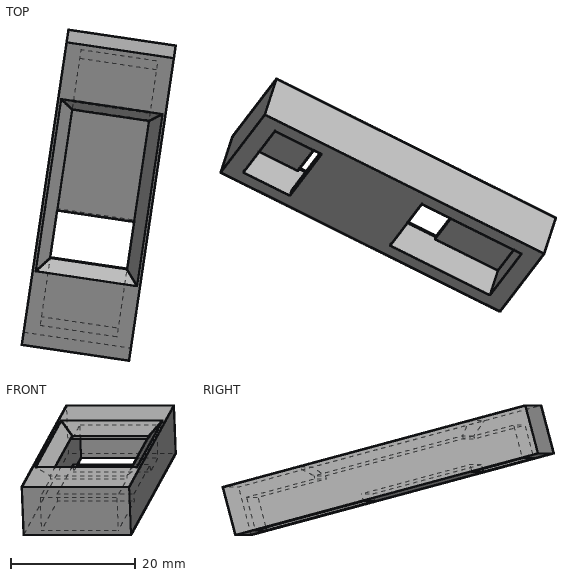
import cadquery as cq

WIDTH = 17.5
LENGTH = 51.0
HEIGHT = 8.0
TOP = HEIGHT / 2
BOTTOM = -HEIGHT / 2

SIDE_WALL = 2.5
END_WALL = 3.0
ROOF = 2.5
CAVITY_WIDTH = WIDTH - 2 * SIDE_WALL
CAVITY_LENGTH = LENGTH - 2 * END_WALL

BEVEL = 2.0
WINDOW_WIDTH = CAVITY_WIDTH
WINDOW_LENGTH = 25.0
WINDOW_CENTER_Y = 1.5

PLATE_THICKNESS = 1.2
PLATE_FRONT_Y = -4.3
PLATE_BACK_Y = WINDOW_CENTER_Y + WINDOW_LENGTH / 2

TILT_ABOUT_X = 14.95
TURN_ABOUT_Z = -8.43


def make_housing():
    """Block hollowed from below, leaving side walls, end walls and a roof."""
    block = cq.Workplane("XY").box(WIDTH, LENGTH, HEIGHT)
    cavity = (
        cq.Workplane("XY", origin=(0, 0, BOTTOM))
        .rect(CAVITY_WIDTH, CAVITY_LENGTH)
        .extrude(HEIGHT - ROOF)
    )
    return block.cut(cavity)


def make_window():
    """Cutter for the roof window: a straight throat below a flared mouth."""
    throat = (
        cq.Workplane("XY", origin=(0, WINDOW_CENTER_Y, TOP - ROOF))
        .rect(WINDOW_WIDTH, WINDOW_LENGTH)
        .extrude(ROOF)
    )
    mouth = (
        cq.Workplane("XY", origin=(0, WINDOW_CENTER_Y, TOP - BEVEL))
        .rect(WINDOW_WIDTH, WINDOW_LENGTH)
        .workplane(offset=BEVEL)
        .rect(WINDOW_WIDTH + 2 * BEVEL, WINDOW_LENGTH + 2 * BEVEL)
        .loft(ruled=True)
    )
    return throat.union(mouth)


def make_plate():
    """Flat plate joining the two side walls at the bottom of the cavity."""
    plate_length = PLATE_BACK_Y - PLATE_FRONT_Y
    plate_center_y = (PLATE_BACK_Y + PLATE_FRONT_Y) / 2
    return (
        cq.Workplane("XY", origin=(0, plate_center_y, BOTTOM))
        .rect(CAVITY_WIDTH, plate_length)
        .extrude(PLATE_THICKNESS)
    )


level_part = make_housing().cut(make_window()).union(make_plate())
tilted_part = level_part.rotate((0, 0, 0), (1, 0, 0), TILT_ABOUT_X)
result = tilted_part.rotate((0, 0, 0), (0, 0, 1), TURN_ABOUT_Z)